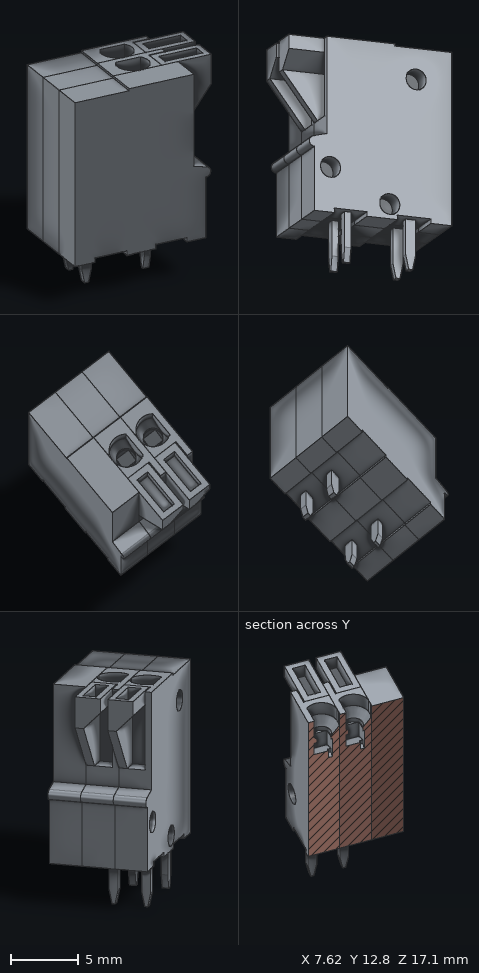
import cadquery as cq
import math


pitch = 2.54
wired_modules = 2
modules = 3
side_wall = 0.5

height = 13.6
step_drop = 0.17
step_y = 4.55
upper_depth = 10.0
lower_depth = 11.0
hook_radius = 0.41
hook_center_z = 5.37
hook_slope = math.radians(15)
foot_height = 0.35
front_notch = (1.68, 4.35)
rear_notch = (6.79, 9.41)

peg_hole_diameter = 1.6
peg_hole_depth = 1.5
peg_hole_centers = [(2.86, 11.02), (9.71, 3.5), (4.97, 1.14)]

entry_y = 6.88
entry_diameter = 2.56
entry_depth = 1.15
throat_diameter = 1.46
funnel_depth = 0.75
throat_depth = 0.4
clamp_right_x = 1.92
clamp_y = (6.17, 7.42)
clamp_depth = 1.0
clamp_slope = math.radians(20)
clamp_relief_width = 0.26
clamp_relief_length = 0.48
clamp_relief_depth = 1.0

lever_gap = 0.08
lever_front_y = 8.63
lever_back_y = 12.8
lever_rim_height = 1.1
lever_undercut = 1.3
lever_toe_z = 7.55
lever_pocket_width = 1.0
lever_pocket_y = (9.16, 12.33)
lever_pocket_depth = 1.1

pin_length = 3.5
pin_thickness = 0.52
pin_taper_height = 1.1
pin_taper_inset = 0.235
pin_right_x = 1.26
front_pin_width = 0.8
front_pin_y = 3.0
rear_pin_width = 0.7
rear_pin_y = 8.1

entry_x = pitch / 2
funnel_top_z = height - entry_depth
throat_top_z = funnel_top_z - funnel_depth
clamp_top_z = throat_top_z - throat_depth
lever_left_x = side_wall + lever_gap
lever_width = pitch - lever_left_x
lever_shoulder_z = height - lever_rim_height
lever_heel_z = lever_shoulder_z - lever_undercut


def box(x_range, y_range, z_range):
    """Axis-aligned block between the given limits."""
    lows, highs = zip(x_range, y_range, z_range)
    sizes = [high - low for low, high in zip(lows, highs)]
    return cq.Workplane("XY").box(*sizes, centered=False).translate(lows)


def housing_blank():
    """Extruded side profile shared by every module, with its hook, top step and feet."""
    tangent_y = lower_depth + hook_radius * math.sin(hook_slope)
    tangent_z = hook_center_z + hook_radius * math.cos(hook_slope)
    hook_root_z = tangent_z + (tangent_y - upper_depth) * math.tan(hook_slope)
    blank = (
        cq.Workplane("YZ")
        .lineTo(lower_depth, 0)
        .lineTo(lower_depth, hook_center_z - hook_radius)
        .threePointArc((lower_depth + hook_radius, hook_center_z), (tangent_y, tangent_z))
        .lineTo(upper_depth, hook_root_z)
        .lineTo(upper_depth, height)
        .lineTo(step_y, height)
        .lineTo(step_y, height - step_drop)
        .lineTo(0, height - step_drop)
        .close()
        .extrude(pitch)
    )
    for notch in (front_notch, rear_notch):
        blank = blank.cut(box((0, pitch), notch, (0, foot_height)))
    return blank


def clamp_window():
    """Rectangular opening under the throat; its floor slopes down towards the back.

    A small deeper relief in the front right corner has a floor rising at 45 degrees.
    """
    front_y, back_y = clamp_y
    floor_front_z = clamp_top_z - clamp_depth
    floor_back_z = floor_front_z - (back_y - front_y) * math.tan(clamp_slope)
    window = (
        cq.Workplane("YZ", origin=(side_wall, 0, 0))
        .moveTo(front_y, clamp_top_z)
        .lineTo(back_y, clamp_top_z)
        .lineTo(back_y, floor_back_z)
        .lineTo(front_y, floor_front_z)
        .close()
        .extrude(clamp_right_x - side_wall)
    )
    relief_floor_z = floor_front_z - clamp_relief_depth
    relief_back_y = front_y + clamp_relief_length
    relief = (
        cq.Workplane("YZ", origin=(clamp_right_x - clamp_relief_width, 0, 0))
        .moveTo(front_y, clamp_top_z)
        .lineTo(relief_back_y, clamp_top_z)
        .lineTo(relief_back_y, relief_floor_z + clamp_relief_length)
        .lineTo(front_y, relief_floor_z)
        .close()
        .extrude(clamp_relief_width)
    )
    return window.union(relief)


def wire_entry():
    """Round mouth, funnel and throat, clipped by the side wall and the next module."""
    mouth_radius = entry_diameter / 2
    throat_radius = throat_diameter / 2
    bore = (
        cq.Workplane("XZ")
        .moveTo(0, height)
        .lineTo(mouth_radius, height)
        .lineTo(mouth_radius, funnel_top_z)
        .lineTo(throat_radius, throat_top_z)
        .lineTo(throat_radius, clamp_top_z)
        .lineTo(0, clamp_top_z)
        .close()
        .revolve(360, (0, 0, 0), (0, 1, 0))
        .translate((entry_x, entry_y, 0))
    )
    module_space = box((side_wall, pitch), (0, upper_depth), (0, height))
    return bore.intersect(module_space).union(clamp_window())


def lever_slot():
    """Slot in the back of the housing that holds the lever."""
    return box(
        (side_wall, pitch),
        (lever_front_y, upper_depth),
        (lever_toe_z, height),
    )


def peg_holes():
    """Three blind round holes in the outer side wall."""
    return (
        cq.Workplane("YZ")
        .pushPoints(peg_hole_centers)
        .circle(peg_hole_diameter / 2)
        .extrude(peg_hole_depth)
    )


def wired_housing(index):
    """Housing of one wired module; only the outermost one shows peg holes."""
    body = housing_blank().cut(wire_entry()).cut(lever_slot())
    if index == 0:
        body = body.cut(peg_holes())
    return body


def lever():
    """Release lever: wide rim, undercut at 45 degrees to a narrow web with a sloping toe."""
    web_left_x = lever_left_x + lever_undercut
    side = (
        cq.Workplane("YZ", origin=(lever_left_x, 0, 0))
        .moveTo(lever_front_y, height)
        .lineTo(lever_back_y, height)
        .lineTo(lever_back_y, lever_heel_z)
        .lineTo(upper_depth, lever_toe_z)
        .lineTo(lever_front_y, lever_toe_z)
        .close()
        .extrude(lever_width)
    )
    section = (
        cq.Workplane("XZ", origin=(0, lever_back_y, 0))
        .moveTo(lever_left_x, height)
        .lineTo(pitch, height)
        .lineTo(pitch, lever_toe_z)
        .lineTo(web_left_x, lever_toe_z)
        .lineTo(web_left_x, lever_heel_z)
        .lineTo(lever_left_x, lever_shoulder_z)
        .close()
        .extrude(lever_back_y - lever_front_y)
    )
    pocket_left_x = lever_left_x + (lever_width - lever_pocket_width) / 2
    pocket = box(
        (pocket_left_x, pocket_left_x + lever_pocket_width),
        lever_pocket_y,
        (height - lever_pocket_depth, height),
    )
    return side.intersect(section).cut(pocket)


def pin_blade(plane, width):
    """Flat pin hanging from the housing underside, narrowed to a blunt tip."""
    half_width = width / 2
    half_tip = half_width - pin_taper_inset
    taper_z = -pin_length + pin_taper_height
    return (
        cq.Workplane(plane)
        .moveTo(-half_width, foot_height)
        .lineTo(half_width, foot_height)
        .lineTo(half_width, taper_z)
        .lineTo(half_tip, -pin_length)
        .lineTo(-half_tip, -pin_length)
        .lineTo(-half_width, taper_z)
        .close()
        .extrude(pin_thickness / 2, both=True)
    )


def front_pin():
    """Pin standing edge-on to the front, its width along Y."""
    center_x = pin_right_x - pin_thickness / 2
    return pin_blade("YZ", front_pin_width).translate((center_x, front_pin_y, 0))


def rear_pin():
    """Pin standing flat to the front, its width along X."""
    center_x = pin_right_x - rear_pin_width / 2
    return pin_blade("XZ", rear_pin_width).translate((center_x, rear_pin_y, 0))


bodies = []
for module in range(wired_modules):
    for body in (wired_housing(module), lever(), front_pin(), rear_pin()):
        bodies.append(body.translate((module * pitch, 0, 0)).val())

for module in range(wired_modules, modules):
    end_plate = housing_blank().translate((module * pitch, 0, 0))
    bodies.append(end_plate.val())

result = cq.Compound.makeCompound(bodies)